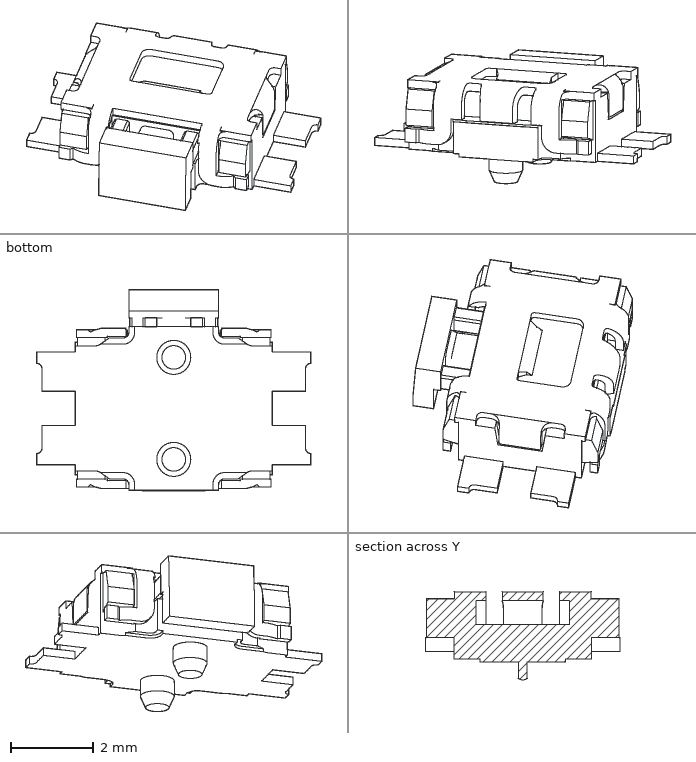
import cadquery as cq
import math

body_half_x = 2.395
core_half_y = 1.515
cover_top = 1.74
sheet = 0.2
housing_top = cover_top - sheet

flap_outer_y = 1.95
flap_inner_y = flap_outer_y - sheet
bend_radius = 0.48
flap_half_x = 1.61
flap_bottom = 0.26
flap_inner_x = 1.165
flap_corner_radius = 0.365
plate_half_y = 1.61
corner_relief = 0.13

ledge_half_x = 1.09
ledge_y = 1.98
ledge_top = 0.885
ledge_fillet = 0.14
opening_half_x = 1.13

ear_inner_x = 1.66
ear_outer_x = 2.335
ear_outer_y = 1.91
ear_profile = [
    (core_half_y, housing_top), (1.755, housing_top), (ear_outer_y, 1.08),
    (ear_outer_y, 0.68), (core_half_y, 0.56),
]

plinth_root_x = 1.835
plinth_shoulder_x = 1.56
plinth_y = 1.71
plinth_top = 0.6
plinth_fillet = 0.24

recess_height = 0.07
recess_inner_x = 0.95
recess_outer_x = 1.77
recess_y = 1.555
recess_fillet = 0.28

stop_top = 0.92
stop_steps = [(ledge_half_x, 1.99), (0.76, 2.01)]
stop_thickness = 0.05

side_flap_half_y = 0.51
side_flap_bottom = stop_top
side_bend_radius = 0.28
side_pocket_bottom = 0.87
side_pocket_low_half_y = 0.545
side_pocket_top_half_y = 0.62
side_notch_half_y = 1.09
side_notch_depth = 0.265
side_notch_fillet = 0.13
side_root_fillet = side_notch_depth
side_flap_corner = 0.045

window_half_x = 1.03
window_back = 0.97
window_front = -0.33
window_back_radius = 0.2
window_front_radius = 0.08
tongue_half_x = 0.685
tongue_root_half_x = 0.79
tongue_bend_y = -0.15
tongue_end_y = -0.01
tongue_bend_drop = 0.08

slot_outer_x = 0.89
slot_root_x = 0.54
slot_tip_x = 0.42
slot_radius = 0.09
slot_front_y = 1.49

opening_back_y = 1.475
opening_neck_half_x = 1.125
opening_neck_z = 1.46

hook_top = plinth_top
hook_outer = [
    (flap_half_x, flap_outer_y), (1.75, flap_outer_y), (1.9, ear_outer_y),
    (2.02, 1.85), (2.08, ear_outer_y), (2.36, ear_outer_y),
]
hook_inner_y = 1.715

terminal_tip_x = 3.325
terminal_step_x = 3.2
terminal_inner_y = 0.41
terminal_outer_y = 1.37
terminal_step_y = 1.09
terminal_round = terminal_tip_x - terminal_step_x
terminal_thickness = sheet

peg_radius = 0.41
peg_tip_radius = 0.285
peg_y = 1.24
peg_shoulder = -0.4
peg_bottom = -0.685

plunger_half_x = ledge_half_x
plunger_top = 1.7
plunger_bottom = 0.12
plunger_back_y = -2.195
plunger_step_y = -2.37
plunger_top_front_y = -2.81
plunger_front_y = -2.88
plunger_draft_end = 0.525
stem_bottom = stop_top
stem_top = 1.47
stem_root_y = -core_half_y
arm_inner_x = 0.69
arm_outer_x = 1.07
arm_chamfer = 0.05
post_half_x = 0.41
post_round = 0.13
post_top = 1.395
post_ramp_y = -2.055


def box(x0, x1, y0, y1, z0, z1):
    return cq.Workplane("XY").box(x1 - x0, y1 - y0, z1 - z0, centered=False).translate((x0, y0, z0))


def extrude_plan(points, z0, z1):
    return cq.Workplane("XY").workplane(offset=z0).polyline(points).close().extrude(z1 - z0)


def extrude_along_x(profile, x0, x1):
    return cq.Workplane("YZ").workplane(offset=x0).polyline(profile).close().extrude(x1 - x0)


def mirror_x(solid):
    return solid.union(solid.mirror("YZ"))


def mirror_y(solid):
    return solid.union(solid.mirror("XZ"))


def corner_web(corner_x, corner_y, radius, z0, z1):
    """Concave fillet filling the inside corner at (corner_x, corner_y), towards +X and +Y."""
    block = box(corner_x, corner_x + radius, corner_y, corner_y + radius, z0, z1)
    bore = (
        cq.Workplane("XY").workplane(offset=z0)
        .center(corner_x + radius, corner_y + radius)
        .circle(radius).extrude(z1 - z0)
    )
    return block.cut(bore)


def bent_sheet(outer, bottom, radius, half_width):
    """Sheet running out along +Y under the cover top, then bent down to the given bottom."""
    inner = outer - sheet
    start = outer - radius
    axis_z = cover_top - radius
    diagonal = math.sqrt(0.5)
    inner_radius = radius - sheet
    outer_mid = (start + radius * diagonal, axis_z + radius * diagonal)
    inner_mid = (start + inner_radius * diagonal, axis_z + inner_radius * diagonal)
    profile = (
        cq.Workplane("YZ").workplane(offset=-half_width)
        .moveTo(start, housing_top)
        .lineTo(start, cover_top)
        .threePointArc(outer_mid, (outer, axis_z))
        .lineTo(outer, bottom)
        .lineTo(inner, bottom)
        .lineTo(inner, axis_z)
        .threePointArc(inner_mid, (start, housing_top))
        .close()
    )
    return profile.extrude(2 * half_width)


def make_plinth():
    """Wall below the flaps: sloped ends blend into the core, the middle steps out to the ledge."""
    sloped = extrude_plan(
        [(-plinth_root_x, 0), (-plinth_root_x, core_half_y), (-plinth_shoulder_x, plinth_y),
         (plinth_shoulder_x, plinth_y), (plinth_root_x, core_half_y), (plinth_root_x, 0)],
        0, plinth_top,
    )
    base = box(-body_half_x, body_half_x, 0, core_half_y, 0, plinth_top)
    blend_points = [(x, core_half_y, plinth_top / 2) for x in (-plinth_root_x, plinth_root_x)]
    plinth = base.union(sloped)
    for point in blend_points:
        plinth = plinth.edges(cq.NearestToPointSelector(point)).fillet(plinth_fillet)
    ledge = box(-ledge_half_x, ledge_half_x, 0, ledge_y, 0, ledge_top)
    web = corner_web(ledge_half_x, plinth_y, ledge_fillet, 0, ledge_top)
    recess = (
        box(recess_inner_x, recess_outer_x, recess_y, flap_outer_y + sheet, 0, recess_height)
        .edges("|Z and <X and <Y").fillet(recess_fillet)
    )
    return plinth.union(ledge).union(mirror_x(web)).cut(mirror_x(recess))


def make_housing():
    core = box(-body_half_x, body_half_x, -core_half_y, core_half_y, plinth_top, housing_top)
    wall = box(-ear_inner_x, ear_inner_x, 0, flap_inner_y, plinth_top, housing_top)
    ear = extrude_along_x(ear_profile, ear_inner_x, ear_outer_x)
    ends = wall.union(mirror_x(ear))
    housing = core.union(mirror_y(ends)).union(mirror_y(make_plinth()))
    for half_x, stop_y in stop_steps:
        stop = box(-half_x, half_x, 0, stop_y, stop_top - stop_thickness, stop_top)
        housing = housing.union(stop)
    front_opening = box(-opening_half_x, opening_half_x, -flap_outer_y, -core_half_y, ledge_top, cover_top)
    rear_opening = box(-opening_half_x, opening_half_x, core_half_y, flap_outer_y, stop_top, cover_top)
    pocket = (
        cq.Workplane("YZ").workplane(offset=body_half_x - sheet)
        .polyline([
            (-side_pocket_low_half_y, side_pocket_bottom), (side_pocket_low_half_y, side_pocket_bottom),
            (side_pocket_top_half_y, housing_top), (-side_pocket_top_half_y, housing_top),
        ])
        .close().extrude(sheet)
    )
    return housing.cut(front_opening).cut(rear_opening).cut(mirror_x(pocket))


def make_plate():
    plate = box(-body_half_x, body_half_x, -plate_half_y, plate_half_y, housing_top, cover_top)
    flap_strip_y = flap_outer_y - bend_radius
    for y0 in (flap_strip_y, -flap_strip_y - bend_radius):
        plate = plate.cut(box(-flap_half_x, flap_half_x, y0, y0 + bend_radius, housing_top, cover_top))
    notch = (
        box(body_half_x - side_notch_depth, body_half_x + side_notch_depth,
            -side_notch_half_y, side_notch_half_y, housing_top, cover_top)
        .edges("|Z and <X").fillet(side_notch_fillet)
    )
    plate = plate.cut(mirror_x(notch))
    window = (
        box(-window_half_x, window_half_x, window_front, window_back, housing_top, cover_top)
        .edges("|Z and >Y").fillet(window_back_radius)
        .edges("|Z and <Y").fillet(window_front_radius)
    )
    return plate.cut(window)


def make_tongue():
    profile = [
        (window_front, housing_top), (window_front, cover_top),
        (tongue_bend_y, cover_top - tongue_bend_drop), (tongue_end_y, housing_top),
    ]
    plan = [
        (-tongue_root_half_x, window_front), (-tongue_half_x, tongue_bend_y), (-tongue_half_x, tongue_end_y),
        (tongue_half_x, tongue_end_y), (tongue_half_x, tongue_bend_y), (tongue_root_half_x, window_front),
    ]
    tongue = extrude_along_x(profile, -tongue_root_half_x, tongue_root_half_x)
    return tongue.intersect(extrude_plan(plan, housing_top, cover_top))


def make_side_flap():
    flap = (
        bent_sheet(body_half_x, side_flap_bottom, side_bend_radius, side_flap_half_y)
        .faces("<Z").edges("|Y").fillet(side_flap_corner)
    )
    notch_x = body_half_x - side_notch_depth
    root = corner_web(side_flap_half_y, notch_x, side_root_fillet, housing_top, cover_top)
    bend = bent_sheet(body_half_x, side_flap_bottom, side_bend_radius, side_notch_half_y)
    flap = flap.union(mirror_x(root.intersect(bend)))
    return flap.rotate((0, 0, 0), (0, 0, 1), -90)


def make_hook():
    tip_x = hook_outer[-1][0]
    plan = hook_outer + [(tip_x, hook_inner_y), (flap_half_x, hook_inner_y)]
    return mirror_x(extrude_plan(plan, flap_bottom, hook_top))


def make_corner_webs():
    web = corner_web(flap_half_x, plate_half_y, corner_relief, housing_top, cover_top)
    bend = bent_sheet(flap_outer_y, flap_bottom, bend_radius, body_half_x)
    return mirror_x(web.intersect(bend))


def make_end_flap():
    """Full width flap on +Y with its hooks, rounded at the bottom beside the ledge."""
    flap = bent_sheet(flap_outer_y, flap_bottom, bend_radius, flap_half_x)
    gap = box(-flap_inner_x, flap_inner_x, 0, flap_outer_y, 0, stop_top)
    flare = (
        cq.Workplane("XZ").workplane(offset=-flap_outer_y)
        .moveTo(flap_inner_x, flap_bottom)
        .lineTo(flap_inner_x + flap_corner_radius, flap_bottom)
        .radiusArc((flap_inner_x, flap_bottom + flap_corner_radius), flap_corner_radius)
        .close().extrude(sheet)
    )
    return flap.cut(gap).cut(mirror_x(flare)).union(make_hook()).union(make_corner_webs())


def make_rear_flap():
    slot = extrude_plan(
        [(slot_root_x, slot_front_y), (slot_outer_x, slot_front_y),
         (slot_outer_x, flap_outer_y), (slot_tip_x, flap_outer_y)],
        stop_top, cover_top,
    ).edges("|Z and <Y").fillet(slot_radius)
    return make_end_flap().cut(mirror_x(slot))


def make_front_flap():
    flap = make_end_flap()
    for half_x, top in ((flap_inner_x, opening_neck_z), (opening_neck_half_x, cover_top)):
        flap = flap.cut(box(-half_x, half_x, opening_back_y, flap_outer_y, 0, top))
    return flap.mirror("XZ")


def make_terminals():
    terminal = (
        cq.Workplane("XY")
        .moveTo(body_half_x - sheet, terminal_inner_y)
        .lineTo(terminal_step_x, terminal_inner_y)
        .lineTo(terminal_step_x, terminal_step_y - terminal_round)
        .radiusArc((terminal_tip_x, terminal_step_y), terminal_round)
        .lineTo(terminal_tip_x, terminal_outer_y)
        .lineTo(body_half_x - sheet, terminal_outer_y)
        .close().extrude(terminal_thickness)
    )
    return mirror_y(mirror_x(terminal))


def make_pegs():
    peg = (
        cq.Workplane("XZ")
        .polyline([(0, terminal_thickness), (peg_radius, terminal_thickness), (peg_radius, peg_shoulder),
                   (peg_tip_radius, peg_bottom), (0, peg_bottom)])
        .close().revolve(360, (0, 0, 0), (0, 1, 0))
        .translate((0, peg_y, 0))
    )
    return mirror_y(peg)


def post_section(top):
    height = top - stem_bottom
    section = cq.Sketch().rect(2 * post_half_x, height).vertices().fillet(post_round)
    return section.moved(cq.Location((0, stem_bottom + height / 2, 0)))


def make_plunger():
    head = extrude_along_x(
        [(plunger_back_y, plunger_top), (plunger_top_front_y, plunger_top),
         (plunger_front_y, plunger_draft_end), (plunger_front_y, plunger_bottom),
         (plunger_step_y, plunger_bottom), (plunger_step_y, stem_bottom), (plunger_back_y, stem_bottom)],
        -plunger_half_x, plunger_half_x,
    )
    arm = (
        box(arm_inner_x, arm_outer_x, plunger_back_y, stem_root_y, stem_bottom, stem_top)
        .edges("|Y").chamfer(arm_chamfer)
    )
    post = (
        cq.Workplane("XZ").workplane(offset=-stem_root_y)
        .placeSketch(post_section(post_top)).extrude(stem_root_y - post_ramp_y)
    )
    head_section = post_section(stem_top).moved(cq.Location((0, 0, post_ramp_y - plunger_back_y)))
    ramp = (
        cq.Workplane("XZ").workplane(offset=-post_ramp_y)
        .placeSketch(post_section(post_top), head_section)
        .loft()
    )
    return head.union(mirror_x(arm)).union(post).union(ramp)


result = (
    make_housing()
    .union(make_plate())
    .union(make_tongue())
    .union(mirror_x(make_side_flap()))
    .union(make_rear_flap())
    .union(make_front_flap())
    .union(make_terminals())
    .union(make_pegs())
    .union(make_plunger())
)